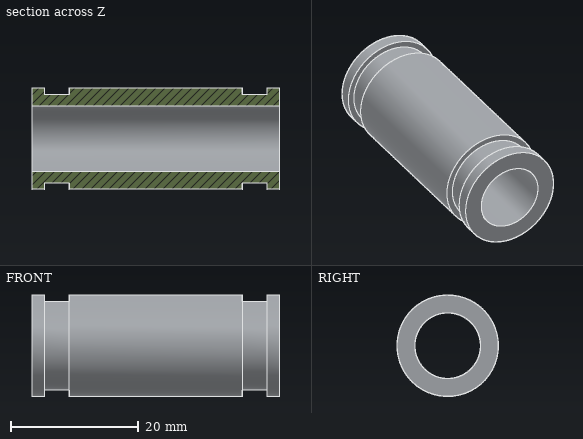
import cadquery as cq

length = 39.0
outer_diameter = 16.0
groove_diameter = 14.0
bore_diameter = 10.3
collar_width = 2.03
groove_width = 3.85


def cylinder(diameter, start, width):
    """Solid cylinder along X, beginning at x = start."""
    return cq.Workplane("YZ", origin=(start, 0, 0)).circle(diameter / 2).extrude(width)


def groove(start):
    """Ring of material to remove for one outer groove."""
    return cylinder(outer_diameter, start, groove_width).cut(
        cylinder(groove_diameter, start, groove_width)
    )


left_end = -length / 2
sleeve = cylinder(outer_diameter, left_end, length)
sleeve = sleeve.cut(cylinder(bore_diameter, left_end, length))

left_groove_start = left_end + collar_width
right_groove_start = length / 2 - collar_width - groove_width
for groove_start in (left_groove_start, right_groove_start):
    sleeve = sleeve.cut(groove(groove_start))

result = sleeve